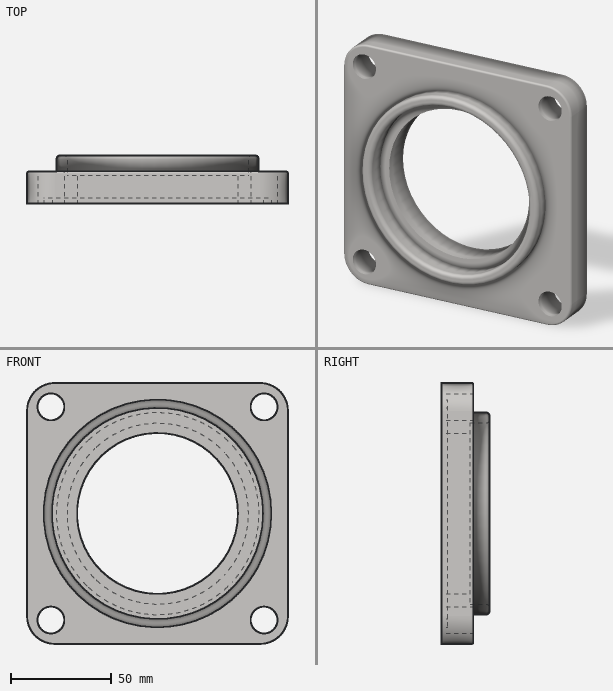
import cadquery as cq

flange_side = 130.0
flange_thickness = 16.0
flange_corner_radius = 14.0
flange_edge_round = 1.0

total_depth = 24.0
boss_height = total_depth - flange_thickness
boss_diameter = 100.8
boss_edge_round = 2.0

bore_diameter = 80.0
bore_length = 14.0
counterbore_diameter = 90.2
counterbore_depth = total_depth - bore_length

groove_outer_diameter = 113.4
groove_inner_diameter = 105.0
groove_depth = 3.0

hole_diameter = 13.3
hole_spacing = 106.1


def cylinder_along_y(diameter, start, length):
    """Cylinder centred on the Y axis, running from Y = start towards +Y."""
    plane = cq.Workplane("XZ", origin=(0, start, 0))
    return plane.circle(diameter / 2).extrude(-length)


def make_flange():
    """Square plate with rounded corners and a small round along its back rim."""
    plate = cq.Workplane("XZ").rect(flange_side, flange_side).extrude(-flange_thickness)
    plate = plate.edges("|Y").fillet(flange_corner_radius)
    return plate.faces(">Y").edges().fillet(flange_edge_round)


def make_boss():
    """Round boss standing on the back of the flange."""
    return cylinder_along_y(boss_diameter, flange_thickness, boss_height)


def make_stepped_bore():
    """Through bore joined with the wider counterbore behind it."""
    bore = cylinder_along_y(bore_diameter, 0, total_depth)
    counterbore = cylinder_along_y(counterbore_diameter, bore_length, counterbore_depth)
    return bore.union(counterbore)


def make_groove():
    """Ring that cuts the groove into the front face."""
    outer = cylinder_along_y(groove_outer_diameter, 0, groove_depth)
    inner = cylinder_along_y(groove_inner_diameter, 0, groove_depth)
    return outer.cut(inner)


def make_mounting_holes():
    """Four cylinders that cut the mounting holes through the flange."""
    corners = cq.Workplane("XZ").rect(hole_spacing, hole_spacing, forConstruction=True).vertices()
    return corners.circle(hole_diameter / 2).extrude(-flange_thickness)


body = make_flange().union(make_boss())
body = body.cut(make_stepped_bore())

body = body.faces(">Y").edges().fillet(boss_edge_round)

result = body.cut(make_groove()).cut(make_mounting_holes())